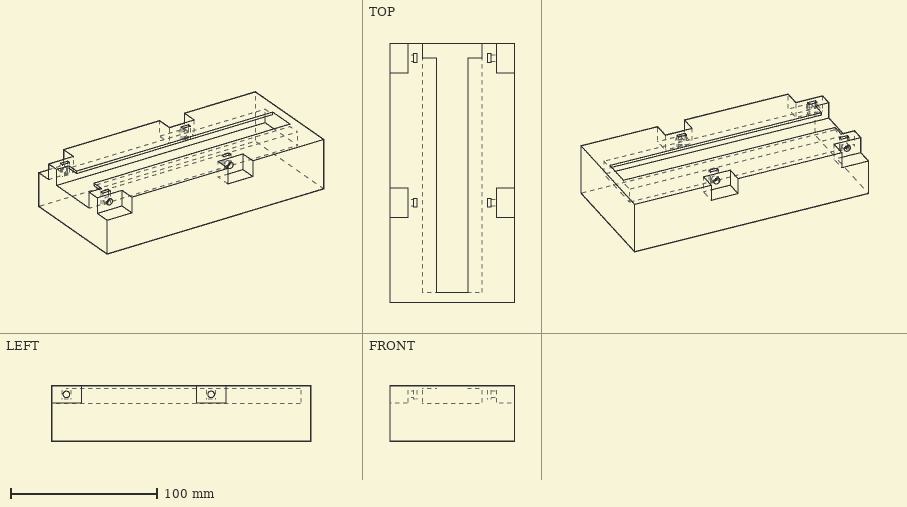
import cadquery as cq

WIDTH = 85.0
LENGTH = 177.0
HEIGHT = 38.0
BACK_Y = LENGTH / 2

NOTCH_WIDTH = 12.25
NOTCH_LENGTH = 20.25
NOTCH_DEPTH = 12.0
NOTCH_PITCH = 98.75
NOTCH_WALL_X = WIDTH / 2 - NOTCH_WIDTH
BACK_NOTCH_Y = BACK_Y - NOTCH_LENGTH / 2
NOTCH_CENTRES_Y = (BACK_NOTCH_Y, BACK_NOTCH_Y - NOTCH_PITCH)

SCREW_DIAMETER = 4.5
SCREW_DROP = 6.0
NUT_SLOT_X = 25.25
NUT_SLOT_WIDTH = 2.5
NUT_SLOT_LENGTH = 6.0
NUT_SLOT_DEPTH = SCREW_DROP + NUT_SLOT_LENGTH / 2
SCREW_LENGTH = NOTCH_WALL_X - (NUT_SLOT_X - NUT_SLOT_WIDTH / 2)

NECK_WIDTH = 21.5
LIP_THICKNESS = 1.9
GROOVE_WIDTH = 40.5
GROOVE_DEPTH = 12.25
MOUTH_LENGTH = 10.1
SLOT_FRONT_MARGIN = 6.75
SLOT_LENGTH = LENGTH - SLOT_FRONT_MARGIN


def top_cut(x, y, size_x, size_y, depth):
    """Rectangular cutter centred on (x, y), reaching down from the top face."""
    cutter = cq.Workplane("XY").box(size_x, size_y, depth, centered=(True, True, False))
    return cutter.translate((x, y, HEIGHT - depth))


def t_slot():
    """Slot open at the back, with lips over the groove everywhere in front of the mouth."""
    slot_y = BACK_Y - SLOT_LENGTH / 2
    mouth_y = BACK_Y - MOUTH_LENGTH / 2
    neck = top_cut(0, slot_y, NECK_WIDTH, SLOT_LENGTH, GROOVE_DEPTH)
    mouth = top_cut(0, mouth_y, GROOVE_WIDTH, MOUTH_LENGTH, GROOVE_DEPTH)
    groove_height = GROOVE_DEPTH - LIP_THICKNESS
    groove = top_cut(0, slot_y, GROOVE_WIDTH, SLOT_LENGTH, groove_height)
    groove = groove.translate((0, 0, -LIP_THICKNESS))
    return neck.union(mouth).union(groove)


def screw_hole(side, y):
    """Hole running from the notch wall toward the middle of the block."""
    start = cq.Vector(side * NOTCH_WALL_X, y, HEIGHT - SCREW_DROP)
    inward = cq.Vector(-side, 0, 0)
    return cq.Workplane(cq.Solid.makeCylinder(SCREW_DIAMETER / 2, SCREW_LENGTH, start, inward))


def mounting_point(side, y):
    """Notch, nut slot and screw hole on one side; side is -1 or +1."""
    notch_x = side * (WIDTH - NOTCH_WIDTH) / 2
    notch = top_cut(notch_x, y, NOTCH_WIDTH, NOTCH_LENGTH, NOTCH_DEPTH)
    nut_slot = top_cut(side * NUT_SLOT_X, y, NUT_SLOT_WIDTH, NUT_SLOT_LENGTH, NUT_SLOT_DEPTH)
    return notch.union(nut_slot).union(screw_hole(side, y))


block = cq.Workplane("XY").box(WIDTH, LENGTH, HEIGHT, centered=(True, True, False))
block = block.cut(t_slot())
for notch_y in NOTCH_CENTRES_Y:
    for side in (-1, 1):
        block = block.cut(mounting_point(side, notch_y))

result = block